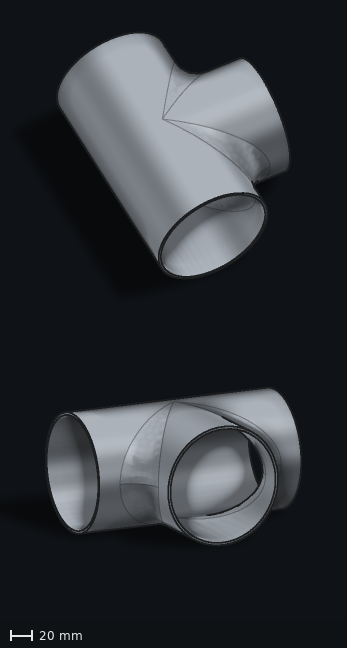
import cadquery as cq

run_length = 210.0
branch_reach = 105.0
outer_diameter = 114.2
bore_diameter = 109.2
crotch_radius = 26.7

outer_radius = outer_diameter / 2
bore_radius = bore_diameter / 2
wall = outer_radius - bore_radius


def blended_tee(radius, blend_radius):
    """Solid tee of two equal cylinders, with a constant-radius blend along both crotches."""
    run = cq.Workplane("YZ").circle(radius).extrude(run_length / 2, both=True)
    branch = cq.Workplane("XZ").circle(radius).extrude(-branch_reach)
    tee = run.union(branch)
    return tee.edges("%ELLIPSE").fillet(blend_radius)


outer_body = blended_tee(outer_radius, crotch_radius)
bore = blended_tee(bore_radius, crotch_radius + wall)

result = outer_body.cut(bore)